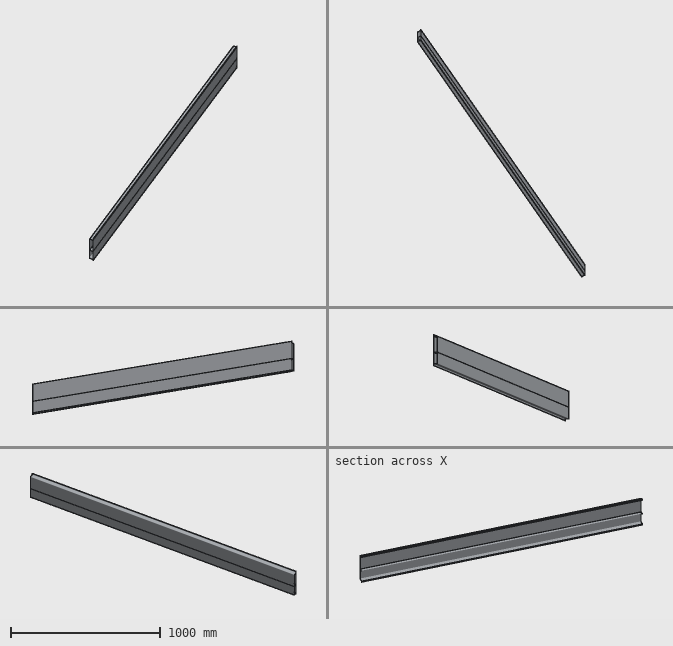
import cadquery as cq

length = 2000.0
depth = 27.6
height = 211.29

channel_sheet = 1.5
back_sheet = 0.5
inner_bend_radius = 1.3
outer_bend_radius = inner_bend_radius + channel_sheet

flange_width = 10.5
rib_thickness = 1.5
rib_center_z = -15.0

front_x = -depth / 2
back_x = depth / 2
wall_inner_x = front_x + channel_sheet
joint_x = back_x - back_sheet
flange_front_x = joint_x - channel_sheet
edge_z = height / 2
channel_z = edge_z - flange_width
channel_inner_z = channel_z - channel_sheet


def make_strip(x_start, x_end, z_start, z_end):
    """A flat rectangular bar running the full length along Y."""
    return cq.Workplane("XY").box(x_end - x_start, length, z_end - z_start).translate(
        ((x_start + x_end) / 2, 0, (z_start + z_end) / 2)
    )


def round_bends(channel, bends, radius):
    """Round the lengthwise edges that pass through the given (x, z) points."""
    for x, z in bends:
        edge = channel.edges(cq.selectors.NearestToPointSelector((x, 0, z)))
        channel = edge.fillet(radius)
    return channel


def make_channel():
    """Hat-section channel: front wall, two webs and two outward flanges."""
    upper_inside = [
        (wall_inner_x, channel_inner_z),
        (joint_x, channel_inner_z),
        (joint_x, edge_z),
    ]
    upper_outside = [
        (flange_front_x, edge_z),
        (flange_front_x, channel_z),
        (front_x, channel_z),
    ]
    upper_half = upper_inside + upper_outside
    lower_half = [(x, -z) for x, z in reversed(upper_half)]
    channel = (
        cq.Workplane("XZ", origin=(0, length / 2, 0))
        .polyline(upper_half + lower_half)
        .close()
        .extrude(length)
    )
    for side in (1, -1):
        inner_bends = [
            (wall_inner_x, side * channel_inner_z),
            (flange_front_x, side * channel_z),
        ]
        outer_bends = [
            (front_x, side * channel_z),
            (joint_x, side * channel_inner_z),
        ]
        channel = round_bends(channel, inner_bends, inner_bend_radius)
        channel = round_bends(channel, outer_bends, outer_bend_radius)
    return channel


def make_back_plate():
    """Flat plate that closes the open side of the channel."""
    return make_strip(joint_x, back_x, -edge_z, edge_z)


def make_rib():
    """Lengthwise stiffener between the front wall and the back plate."""
    half_thickness = rib_thickness / 2
    return make_strip(
        wall_inner_x, joint_x, rib_center_z - half_thickness, rib_center_z + half_thickness
    )


channel = make_channel()
back_plate = make_back_plate()
rib = make_rib()

result = cq.Compound.makeCompound([channel.val(), back_plate.val(), rib.val()])